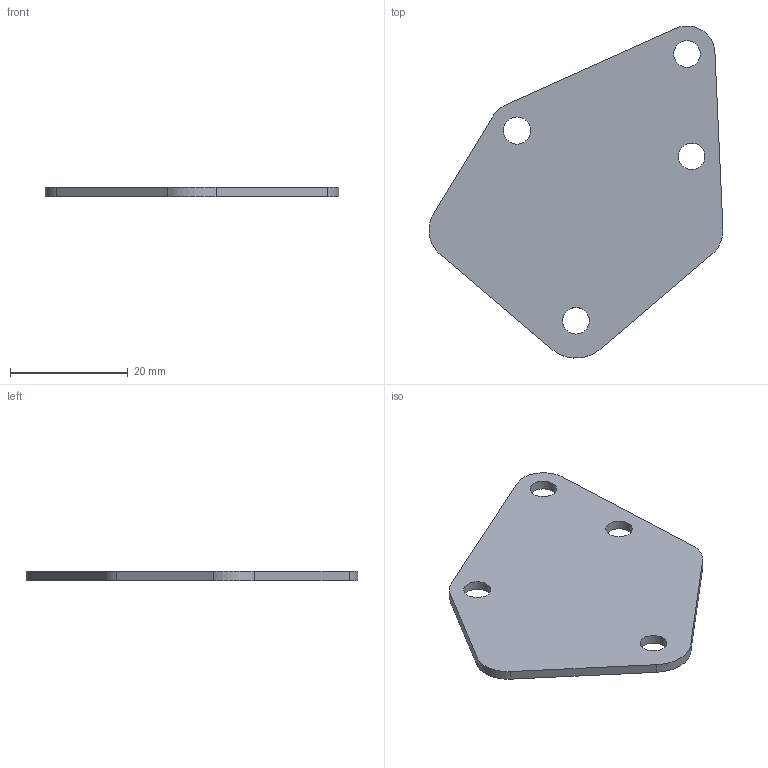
import cadquery as cq
import math

width = 50.02
length = 56.51
thickness = 1.59

mount_radius = 4.76
bottom_radius = 6.35
side_radius = 5.4

hole_diameter = 4.52
large_hole_diameter = 4.62

bottom_center = (0, -length / 2 + bottom_radius)
side_center_x = width / 2 - side_radius
side_center_y = -6.5
top_right_center = (18.89, length / 2 - mount_radius)
top_left_center = (-10.04, 10.46)

edge_hole_center = (19.68, 6.05)

corners = [
    (bottom_center, bottom_radius),
    ((side_center_x, side_center_y), side_radius),
    (top_right_center, mount_radius),
    (top_left_center, mount_radius),
    ((-side_center_x, side_center_y), side_radius),
]

holes = [
    (bottom_center, hole_diameter),
    (top_right_center, hole_diameter),
    (edge_hole_center, hole_diameter),
    (top_left_center, large_hole_diameter),
]


def edge_normal_angle(start, end):
    """Angle of the outward normal of the straight edge tangent to two corner rounds."""
    (x1, y1), r1 = start
    (x2, y2), r2 = end
    direction = math.atan2(y2 - y1, x2 - x1)
    return direction - math.acos((r1 - r2) / math.hypot(x2 - x1, y2 - y1))


def point_on_round(corner, angle):
    (x, y), radius = corner
    return (x + radius * math.cos(angle), y + radius * math.sin(angle))


def make_plate():
    """Return the plate whose outline joins the corner rounds with tangent straight edges."""
    count = len(corners)
    normals = [edge_normal_angle(corners[i], corners[(i + 1) % count]) for i in range(count)]
    outline = cq.Workplane("XY").moveTo(*point_on_round(corners[0], normals[0]))
    for i in range(count):
        corner = corners[(i + 1) % count]
        entry = normals[i]
        sweep = (normals[(i + 1) % count] - entry) % (2 * math.pi)
        outline = outline.lineTo(*point_on_round(corner, entry))
        outline = outline.threePointArc(
            point_on_round(corner, entry + sweep / 2),
            point_on_round(corner, entry + sweep),
        )
    return outline.close().extrude(thickness)


def cut_holes(plate):
    for center, diameter in holes:
        drill = cq.Workplane("XY").center(*center).circle(diameter / 2).extrude(thickness)
        plate = plate.cut(drill)
    return plate


result = cut_holes(make_plate())